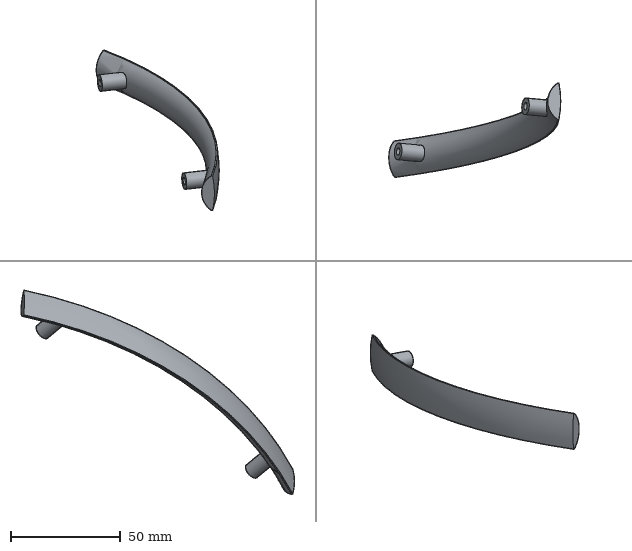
import cadquery as cq
import math

LENGTH = 165.2
DEPTH = 27.9
WIDTH = 16.8

BOW_RISE = 19.3
GRIP_THICKNESS = 6.0
CROWN_RISE = 0.8
SIDE_LAND = 0.7

POST_SPACING = 128.0
POST_DIAMETER = 7.6
HOLE_DIAMETER = 3.3
HOLE_DEPTH = 8.3
DRILL_POINT_ANGLE = 118.0

outer_radius = ((LENGTH / 2) ** 2 + BOW_RISE ** 2) / (2 * BOW_RISE)
inner_radius = outer_radius - GRIP_THICKNESS
crown_edge_radius = outer_radius - CROWN_RISE
land_edge_radius = crown_edge_radius - SIDE_LAND
bow_center_y = DEPTH - outer_radius
half_angle = math.degrees(math.asin(LENGTH / 2 / outer_radius))


def make_grip():
    """Sweep the lens-shaped section around the bow axis, with radial end faces."""
    section = (
        cq.Workplane("YZ")
        .moveTo(crown_edge_radius, -WIDTH / 2)
        .threePointArc((outer_radius, 0), (crown_edge_radius, WIDTH / 2))
        .lineTo(land_edge_radius, WIDTH / 2)
        .threePointArc((inner_radius, 0), (land_edge_radius, -WIDTH / 2))
        .close()
    )
    grip = section.revolve(2 * half_angle, (0, 0, 0), (0, 1, 0))
    return grip.rotate((0, 0, 0), (0, 0, 1), -half_angle).translate((0, bow_center_y, 0))


def post_cylinder(x, diameter, length):
    """Cylinder along +Y that starts at the mounting plane Y = 0."""
    return cq.Workplane("XZ").center(x, 0).circle(diameter / 2).extrude(-length)


def screw_hole(x):
    """Blind bore from the mounting plane, ending in a conical drill point."""
    hole_radius = HOLE_DIAMETER / 2
    point_length = hole_radius / math.tan(math.radians(DRILL_POINT_ANGLE / 2))
    bore = post_cylinder(x, HOLE_DIAMETER, HOLE_DEPTH).val()
    point = cq.Solid.makeCone(
        hole_radius, 0, point_length, cq.Vector(x, HOLE_DEPTH, 0), cq.Vector(0, 1, 0)
    )
    return bore.fuse(point)


mid_radius = outer_radius - GRIP_THICKNESS / 2
post_length = bow_center_y + math.sqrt(mid_radius ** 2 - (POST_SPACING / 2) ** 2)

result = make_grip()
for post_x in (-POST_SPACING / 2, POST_SPACING / 2):
    result = result.union(post_cylinder(post_x, POST_DIAMETER, post_length))
    result = result.cut(cq.Workplane(screw_hole(post_x)))